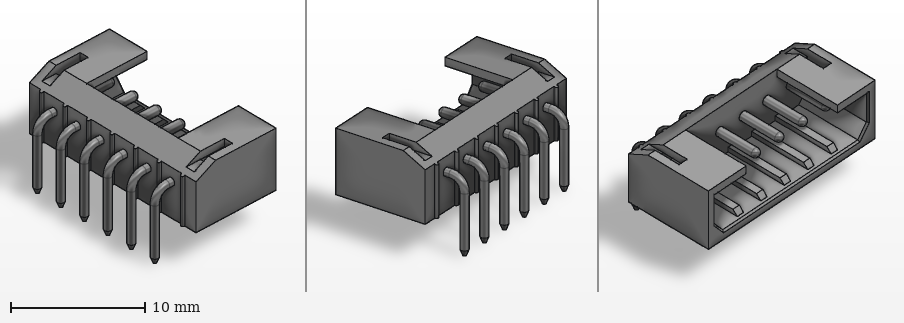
import cadquery as cq
import math


length = 18.06
depth = 8.2
height = 5.6
bevel_depth = 2.0
bevel_drop = 1.01

roof = 0.74
floor = 0.8
side_wall = 0.78
rear_wall = bevel_depth
joint = rear_wall / 2
corner_width = 0.94
corner_height = 1.15
roof_gap = 9.9
lip = 0.16

slot_width = 0.87
slot_rear = 0.55
slot_length = 3.92

pin_count = 6
pitch = 2.55
pin_height = 3.3
tail_diameter = 0.7
tail_straight = 0.5
bend_radius = 1.2
tail_bottom = -3.2
tip_length = 0.52
tip_diameter = 0.29
contact_diameter = 0.83
contact_end = 6.03
contact_rounding = 0.4

rear_rib_width = 0.36
rear_rib_height = 0.2
rear_rib_rounding = 0.15
floor_rib_count = 5
floor_rib_width = 0.69
floor_rib_height = 0.45
floor_rib_setback = 0.43


def row(count):
    """X positions of a centred row at the pin pitch."""
    return [(i - (count - 1) / 2) * pitch for i in range(count)]


def side_profile(points, width, x_centre=0.0):
    """Extrude a (Y, Z) polygon along X, centred on x_centre."""
    plane = cq.Workplane("YZ", origin=(x_centre - width / 2, 0, 0))
    return plane.polyline(points).close().extrude(width)


def block(x_size, y_start, y_end, z_start, z_end, x_centre=0.0):
    """Box centred on x_centre and given by its limits in Y and Z."""
    corner = (x_centre - x_size / 2, y_start, z_start)
    return cq.Workplane("XY", origin=corner).box(
        x_size, y_end - y_start, z_end - z_start, centered=False
    )


def outer_outline():
    """Side outline of the solid housing; the bevel line runs on into the rear ribs."""
    beyond = rear_rib_height
    bevel_slope = bevel_drop / bevel_depth
    return [
        (-beyond, 0),
        (depth, 0),
        (depth, height),
        (bevel_depth, height),
        (-beyond, height - bevel_drop - beyond * bevel_slope),
    ]


def outer_body():
    """Solid housing with the rounded ribs standing on its rear face."""
    shape = block(length, 0, depth, 0, height)
    for x in row(pin_count + 1):
        rib = block(rear_rib_width, -rear_rib_height, joint, 0, height, x)
        shape = shape.union(rib.edges("|Z and <Y").fillet(rear_rib_rounding))
    return shape.intersect(side_profile(outer_outline(), length))


def cavity():
    """Mating cavity with sloped lower corners and the opening between the roof flaps."""
    half = length / 2 - side_wall
    top = height - roof
    section = [
        (-half, top),
        (-half, floor + corner_height),
        (-half + corner_width, floor),
        (half - corner_width, floor),
        (half, floor + corner_height),
        (half, top),
    ]
    plane = cq.Workplane("XZ", origin=(0, depth, 0))
    hollow = plane.polyline(section).close().extrude(depth - rear_wall)
    gap = block(roof_gap, rear_wall, depth, top, height)
    return hollow.union(gap)


def housing():
    """Hollow housing with the mouth beveled along the floor, its corners and the side walls."""
    shell = outer_body().cut(cavity())
    under_roof = cq.selectors.BoxSelector(
        (-length / 2 + side_wall / 2, depth - lip / 2, floor / 2),
        (length / 2 - side_wall / 2, depth + lip / 2, height - roof - lip),
    )
    return shell.edges(under_roof).chamfer(lip)


def latch_slot(side):
    """Slot beside a side wall, cut through the roof and into the bevel."""
    x = side * (length / 2 - side_wall - slot_width / 2)
    return block(slot_width, slot_rear, slot_rear + slot_length, height - roof, height, x)


def floor_rib(x):
    """Rib along the cavity floor with a ramp at the mouth."""
    front = depth - floor_rib_setback
    top = floor + floor_rib_height
    outline = [
        (rear_wall, floor),
        (front, floor),
        (front - floor_rib_height, top),
        (rear_wall, top),
    ]
    return side_profile(outline, floor_rib_width, x)


def pin(x):
    """Round contact in the cavity, continuing as a bent tail with a tapered tip."""
    contact = (
        cq.Workplane("XZ", origin=(x, contact_end, pin_height))
        .circle(contact_diameter / 2)
        .extrude(contact_end - joint)
        .faces(">Y")
        .edges()
        .fillet(contact_rounding)
    )
    bend_start = -tail_straight
    tail_y = bend_start - bend_radius
    bend_end = pin_height - bend_radius
    diagonal = bend_radius * math.sqrt(0.5)
    path = (
        cq.Workplane("YZ", origin=(x, 0, 0))
        .moveTo(joint, pin_height)
        .lineTo(bend_start, pin_height)
        .threePointArc((bend_start - diagonal, bend_end + diagonal), (tail_y, bend_end))
        .lineTo(tail_y, tail_bottom + tip_length)
    )
    tail = (
        cq.Workplane("XZ", origin=(x, joint, pin_height))
        .circle(tail_diameter / 2)
        .sweep(path)
    )
    tip = cq.Workplane("XY").add(
        cq.Solid.makeCone(
            tail_diameter / 2,
            tip_diameter / 2,
            tip_length,
            cq.Vector(x, tail_y, tail_bottom + tip_length),
            cq.Vector(0, 0, -1),
        )
    )
    return contact.union(tail).union(tip)


result = housing()
for side in (-1, 1):
    result = result.cut(latch_slot(side))
for x in row(floor_rib_count):
    result = result.union(floor_rib(x))
for x in row(pin_count):
    result = result.union(pin(x))